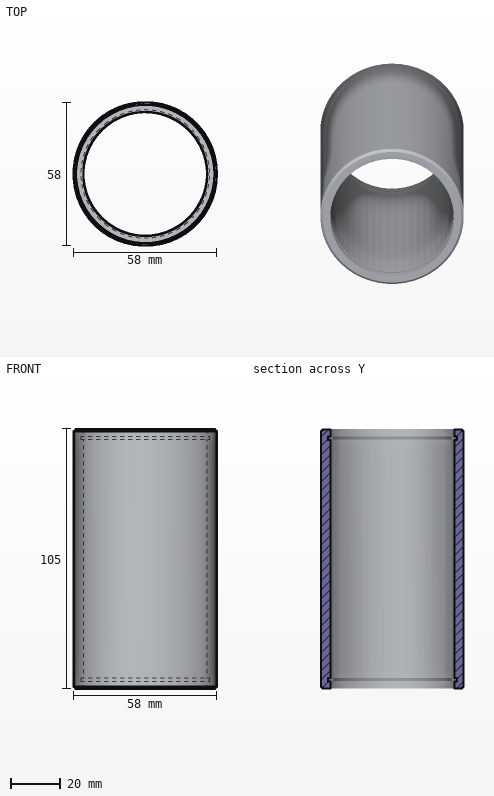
import cadquery as cq

outer_diameter = 58.0
bore_diameter = 50.0
length = 105.0
edge_chamfer = 1.0

groove_diameter = 52.0
groove_width = 1.3
groove_end_distance = 3.0


def sleeve_body():
    """Plain tube with both outer rims chamfered."""
    body = cq.Workplane("XY").circle(outer_diameter / 2).extrude(length)
    body = body.faces("<Z or >Z").edges().chamfer(edge_chamfer)
    return body.cut(cq.Workplane("XY").circle(bore_diameter / 2).extrude(length))


def groove_cutter(start_height):
    """Disc that widens the bore into a groove, starting at the given height."""
    return (
        cq.Workplane("XY")
        .workplane(offset=start_height)
        .circle(groove_diameter / 2)
        .extrude(groove_width)
    )


result = sleeve_body()
upper_groove_start = length - groove_end_distance - groove_width
for start_height in (groove_end_distance, upper_groove_start):
    result = result.cut(groove_cutter(start_height))